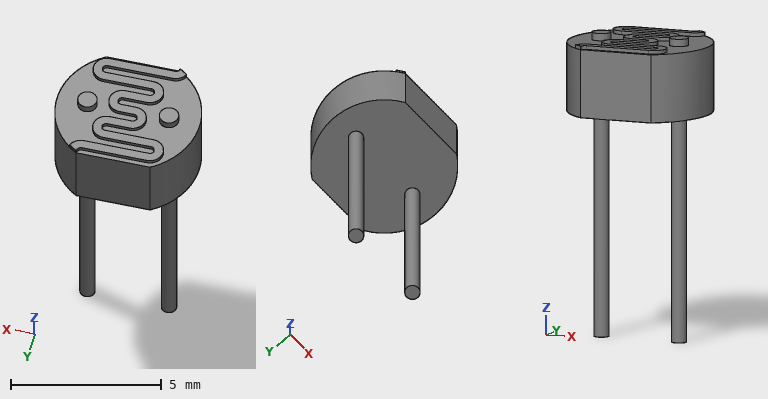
import cadquery as cq

total_height = 10.25
housing_diameter = 4.88
housing_width = 4.17
housing_height = 2.3

lead_diameter = 0.51
lead_head_diameter = 0.65
lead_head_height = 0.25
lead_offset = 1.39
lead_drop = total_height - lead_head_height - housing_height

track_width = 0.31
track_height = 0.12
track_pitch = 0.59
track_center_y = -0.01
track_end_x = 1.11
bend_centers_x = [-track_end_x, 0.53, -0.23, 0.28, -0.52, track_end_x]
bend_radius = track_pitch / 2


def housing_blank(height):
    """Cylinder with two flats facing -Y and +Y."""
    flats = cq.Workplane("XY").box(
        housing_diameter, housing_width, height, centered=(True, True, False)
    )
    return cq.Workplane("XY").circle(housing_diameter / 2).extrude(height).intersect(flats)


def make_housing():
    """Flatted cylinder with a through hole for each lead."""
    lead_positions = [(-lead_offset, 0), (lead_offset, 0)]
    holes = cq.Workplane("XY").pushPoints(lead_positions).circle(lead_diameter / 2)
    return housing_blank(housing_height).cut(holes.extrude(housing_height))


def make_lead(x):
    """Straight wire with a wider head resting on the housing top."""
    wire = (
        cq.Workplane("XY", origin=(x, 0, -lead_drop))
        .circle(lead_diameter / 2)
        .extrude(lead_drop + housing_height)
    )
    head = (
        cq.Workplane("XY", origin=(x, 0, housing_height))
        .circle(lead_head_diameter / 2)
        .extrude(lead_head_height)
    )
    return wire.union(head)


def make_track():
    """Constant-width serpentine, trimmed at both ends by the housing outline."""
    top_run_y = track_center_y + len(bend_centers_x) * track_pitch / 2

    path = cq.Workplane("XY").moveTo(track_end_x + bend_radius, top_run_y + bend_radius)
    path = path.radiusArc((track_end_x, top_run_y), bend_radius)
    run_y = top_run_y
    for index, bend_x in enumerate(bend_centers_x):
        outward = -1 if index % 2 == 0 else 1
        next_y = run_y - track_pitch
        path = path.lineTo(bend_x, run_y)
        path = path.threePointArc(
            (bend_x + outward * bend_radius, run_y - bend_radius), (bend_x, next_y)
        )
        run_y = next_y
    path = path.lineTo(-track_end_x, run_y)
    path = path.radiusArc((-track_end_x - bend_radius, run_y - bend_radius), -bend_radius)

    section = cq.Workplane("XZ", origin=(track_end_x + bend_radius, top_run_y + bend_radius, 0))
    ribbon = section.rect(track_width, 2 * track_height).sweep(path)
    trimmed = ribbon.intersect(housing_blank(track_height))
    return trimmed.translate((0, 0, housing_height))


housing = make_housing()
leads = [make_lead(side * lead_offset) for side in (-1, 1)]
track = make_track()

result = cq.Compound.makeCompound(
    [housing.val(), *[lead.val() for lead in leads], track.solids().val()]
)